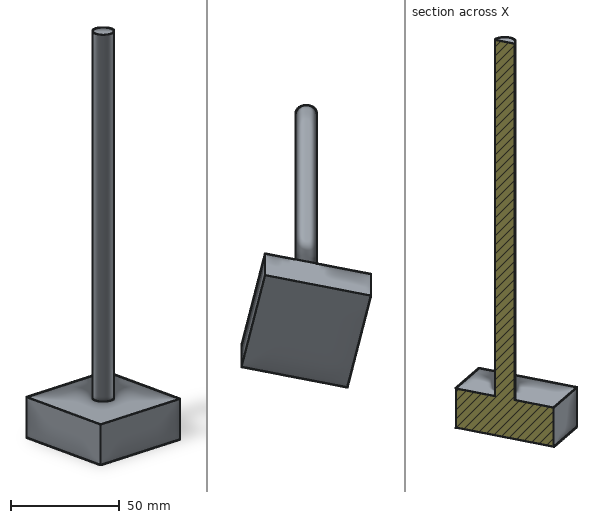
import cadquery as cq

base_side = 50.0
base_height = 20.0
overall_height = 200.0
rod_diameter = 10.0

rod_length = overall_height - base_height


def make_base():
    """Square block standing on the XY plane, centred on the Z axis."""
    return cq.Workplane("XY").box(base_side, base_side, base_height, centered=(True, True, False))


def add_rod(base):
    """Upright round rod rising from the middle of the base's top face."""
    return base.faces(">Z").workplane().circle(rod_diameter / 2).extrude(rod_length)


result = add_rod(make_base())